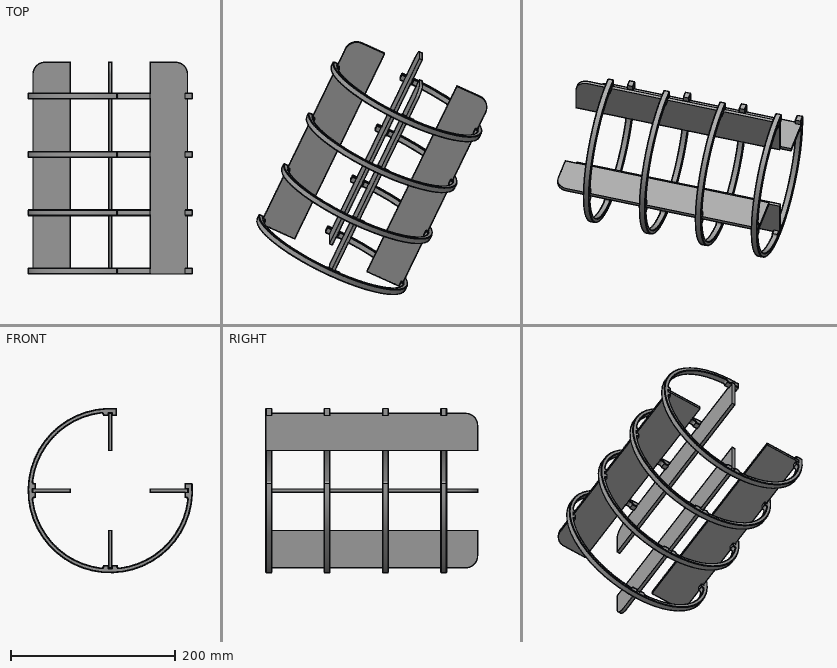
import cadquery as cq
import math

RING_COUNT = 4
RING_PITCH = 71.0
RING_WIDTH = 7.5
RING_OUTER_R = 100.0
RING_INNER_R = 95.0
RING_CHAMFER = 0.8

PAD_HALF_WIDTH = 8.5
PAD_FACE_R = 91.0
PAD_FILLET = 2.3

TOP_END_X = 7.5
SIDE_END_Z = PAD_HALF_WIDTH

PANEL_LENGTH = 258.0
PANEL_THICKNESS = 4.0
PANEL_INNER_R = 48.5
PANEL_OUTER_R = 94.2
PANEL_CORNER_R = 15.0
PANEL_ANGLES = (0, 90, 180, 270)

SLOT_SIDE_GAP = 0.3
SLOT_WIDTH = PANEL_THICKNESS + 2 * SLOT_SIDE_GAP
SLOT_BOTTOM_GAP = 0.8
SLOT_BOTTOM_R = PANEL_OUTER_R + SLOT_BOTTOM_GAP


def turned(shape, angle):
    """Turn a shape about the Y axis, carrying +X towards +Z."""
    return shape.rotate((0, 0, 0), (0, 1, 0), -angle)


def radial_bar(inner_r, outer_r, thickness, length):
    """Plate on the +X side, centred on Z = 0, running from Y = 0 to length."""
    return cq.Workplane("XY").box(
        outer_r - inner_r, length, thickness, centered=(False, False, True)
    ).translate((inner_r, 0, 0))


def disc(radius):
    """Round disc as wide as a ring, from Y = 0 along +Y."""
    return cq.Workplane("XZ").circle(radius).extrude(-RING_WIDTH)


def open_corner():
    """Block that takes away the +X +Z quarter beyond the two hoop ends."""
    return cq.Workplane("XY").box(
        RING_OUTER_R, RING_WIDTH, RING_OUTER_R, centered=False
    ).translate((TOP_END_X, 0, SIDE_END_Z))


def pad_fillet_edges(body):
    """Edges along Y where a pad side meets the inside of the hoop."""
    tolerance = 0.03
    edges = []
    for edge in body.edges("|Y").vals():
        middle = edge.Center()
        if abs(math.hypot(middle.x, middle.z) - RING_INNER_R) < tolerance:
            edges.append(edge)
    return body.newObject(edges)


def make_ring():
    """One ring with four slotted pads, its front face at Y = 0."""
    outer_disc = disc(RING_OUTER_R)
    ring = outer_disc.cut(disc(RING_INNER_R))
    pad = radial_bar(PAD_FACE_R, RING_OUTER_R, 2 * PAD_HALF_WIDTH, RING_WIDTH)
    for angle in PANEL_ANGLES:
        ring = ring.union(turned(pad, angle).intersect(outer_disc))
    ring = ring.cut(open_corner())
    ring = pad_fillet_edges(ring).fillet(PAD_FILLET)
    ring = ring.faces("<Y or >Y").edges().chamfer(RING_CHAMFER)
    slot = radial_bar(PANEL_INNER_R, SLOT_BOTTOM_R, SLOT_WIDTH, RING_WIDTH)
    for angle in PANEL_ANGLES:
        ring = ring.cut(turned(slot, angle))
    return ring


def make_panel():
    """One panel on the +X side with its outer back corner rounded."""
    panel = radial_bar(PANEL_INNER_R, PANEL_OUTER_R, PANEL_THICKNESS, PANEL_LENGTH)
    return panel.edges("|Z and >X and >Y").fillet(PANEL_CORNER_R)


ring = make_ring()
rings = [ring.translate((0, i * RING_PITCH, 0)).val() for i in range(RING_COUNT)]

panel = make_panel()
panels = [turned(panel, angle).val() for angle in PANEL_ANGLES]

result = cq.Compound.makeCompound([*rings, *panels])